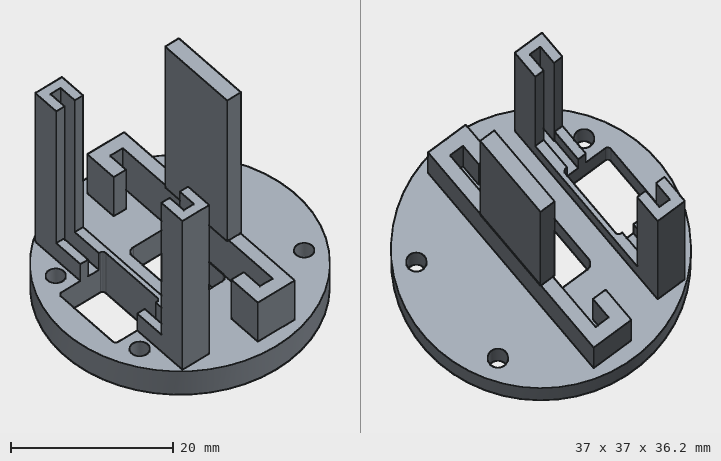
import cadquery as cq

base_diameter = 37.0
base_height = 4.18
screw_hole_diameter = 2.5
screw_hole_x = 8.1
screw_hole_y = 13.17

rear_half_width = 16.45
rear_back_y = 4.75
rear_front_y = -1.2
rear_wall_thickness = 1.9
rear_hook_thickness = 2.0
rear_hook_length = 5.1
rear_height = 6.95
plate_width = 12.0
plate_back_y = 4.8
plate_thickness = 2.22
plate_top = 36.22

front_half_width = 14.2
front_back_y = -7.1
front_front_y = -11.4
post_width = 4.07
post_height = 26.5
channel_height = 3.0
post_wall = 1.35
slot_back_y = front_back_y - post_wall
post_slot_width = 1.63
channel_slot_width = 1.75

rear_window_width = 11.47
rear_window_front_y = -3.75
rear_window_back_y = 2.92
rear_window_radius = 1.0
front_window_width = 10.95
front_window_back_y = -7.77
front_window_front_y = -14.9
front_window_radius = 0.48


def centered_block(width, front_y, back_y, bottom, top):
    """Block symmetric about X = 0, between the given Y and Z limits."""
    return (
        cq.Workplane("XY", origin=(0, (front_y + back_y) / 2, bottom))
        .rect(width, back_y - front_y)
        .extrude(top - bottom)
    )


def make_base():
    plate = cq.Workplane("XY").circle(base_diameter / 2).extrude(base_height)
    return (
        plate.faces(">Z").workplane()
        .rect(2 * screw_hole_x, 2 * screw_hole_y, forConstruction=True)
        .vertices()
        .hole(screw_hole_diameter)
    )


def make_rear_holder():
    rear_top = base_height + rear_height
    rear_wall_front_y = rear_back_y - rear_wall_thickness
    lip_back_y = rear_front_y + rear_hook_thickness
    pocket_width = 2 * (rear_half_width - rear_hook_thickness)
    opening_width = 2 * (rear_half_width - rear_hook_length)
    body = centered_block(2 * rear_half_width, rear_front_y, rear_back_y, base_height, rear_top)
    pocket = centered_block(pocket_width, lip_back_y, rear_wall_front_y, base_height, rear_top)
    opening = centered_block(opening_width, rear_front_y, rear_wall_front_y, base_height, rear_top)
    plate = centered_block(plate_width, plate_back_y - plate_thickness, plate_back_y, rear_top, plate_top)
    return body.cut(pocket).cut(opening).union(plate)


def make_front_holder():
    channel_top = base_height + channel_height
    post_top = base_height + post_height
    gap_width = 2 * (front_half_width - post_width)
    slot_width = 2 * (front_half_width - post_wall)
    body = centered_block(2 * front_half_width, front_front_y, front_back_y, base_height, post_top)
    gap = centered_block(gap_width, front_front_y, front_back_y, channel_top, post_top)
    post_slot = centered_block(slot_width, slot_back_y - post_slot_width, slot_back_y, base_height, post_top)
    channel_slot = centered_block(
        gap_width, slot_back_y - channel_slot_width, slot_back_y, base_height, channel_top
    )
    return body.cut(gap).cut(post_slot).cut(channel_slot)


def make_window(width, front_y, back_y, top, radius):
    return centered_block(width, front_y, back_y, 0, top).edges("|Z").fillet(radius)


rear_window = make_window(
    rear_window_width, rear_window_front_y, rear_window_back_y, base_height, rear_window_radius
)
front_window = make_window(
    front_window_width,
    front_window_front_y,
    front_window_back_y,
    base_height + channel_height,
    front_window_radius,
)

result = (
    make_base()
    .union(make_rear_holder())
    .union(make_front_holder())
    .cut(rear_window)
    .cut(front_window)
)